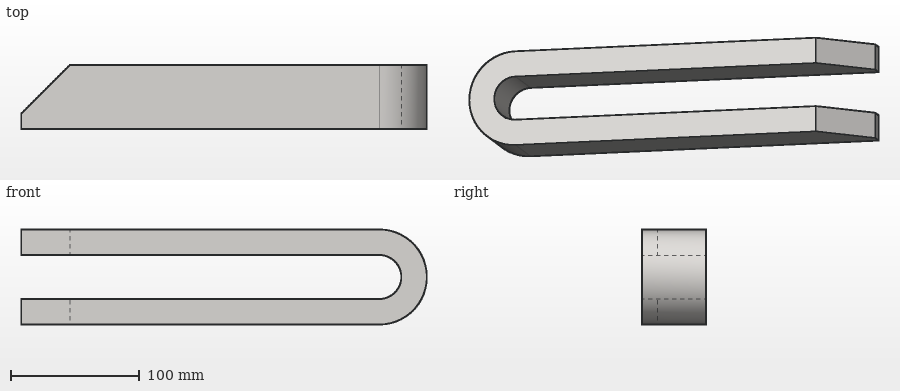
import cadquery as cq

length = 315.0
depth = 50.0
height = 74.0
arm_thickness = 20.0

tip_depth = 12.0
bevel = depth - tip_depth

outer_radius = height / 2
inner_radius = outer_radius - arm_thickness
arm_length = length - outer_radius


def tongue(radius):
    """Straight bar with a round end at +X, running from Y = 0 to Y = depth."""
    return (
        cq.Workplane("XZ")
        .moveTo(0, -radius)
        .lineTo(arm_length, -radius)
        .threePointArc((arm_length + radius, 0), (arm_length, radius))
        .lineTo(0, radius)
        .close()
        .extrude(-depth)
    )


def end_bevel():
    """Triangular prism that removes the +Y corner of the arm ends."""
    return (
        cq.Workplane("XY", origin=(0, 0, -outer_radius))
        .moveTo(0, tip_depth)
        .lineTo(bevel, depth)
        .lineTo(0, depth)
        .close()
        .extrude(height)
    )


u_bar = tongue(outer_radius).cut(tongue(inner_radius))
result = u_bar.cut(end_bevel())